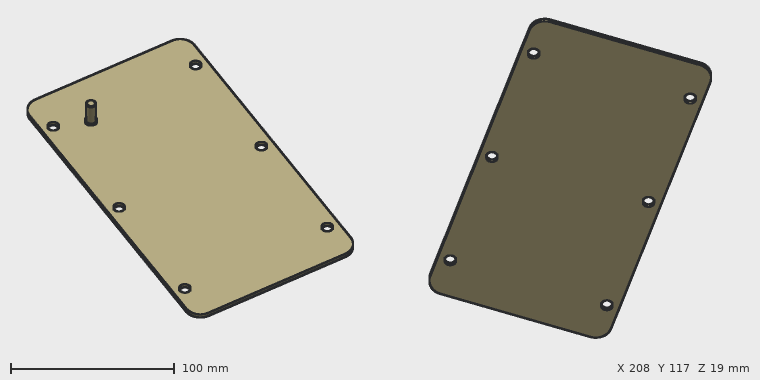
import cadquery as cq

plate_length = 208.0
plate_width = 117.0
plate_thickness = 3.0
corner_radius = 10.0

hole_diameter = 7.0
hole_columns = 3
hole_rows = 2
column_pitch = 79.0
row_pitch = 101.0

overall_height = 19.0
stud_x = -71.0
stud_y = -28.5
stud_diameter = 6.0
stud_chamfer = 0.52
flange_diameter = 7.5
flange_height = 0.8


def make_plate():
    """Rounded rectangular plate with its grid of through holes."""
    plate = (
        cq.Workplane("XY")
        .rect(plate_length, plate_width)
        .extrude(plate_thickness)
        .edges("|Z")
        .fillet(corner_radius)
    )
    return (
        plate.faces(">Z")
        .workplane()
        .rarray(column_pitch, row_pitch, hole_columns, hole_rows)
        .hole(hole_diameter)
    )


def make_stud():
    """Chamfered stud and its base flange, both rooted in the plate."""
    base = cq.Workplane("XY").center(stud_x, stud_y)
    shank = (
        base.circle(stud_diameter / 2)
        .extrude(overall_height)
        .faces(">Z")
        .chamfer(stud_chamfer)
    )
    flange = base.circle(flange_diameter / 2).extrude(plate_thickness + flange_height)
    return shank.union(flange)


result = make_plate().union(make_stud())